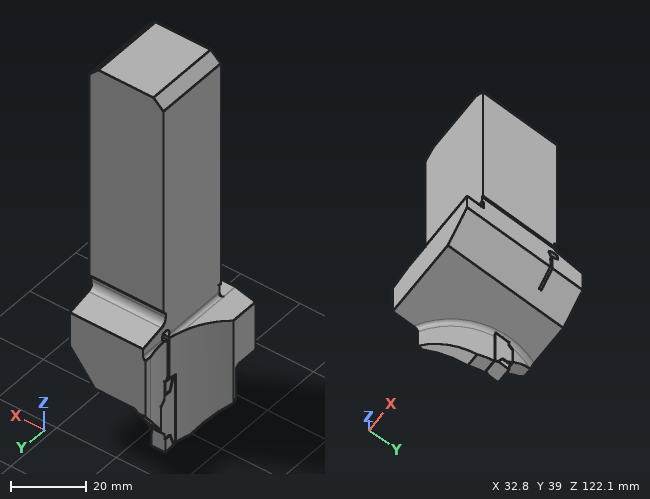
import cadquery as cq
import math


total_length = 122.1
holder_width = 32.8
head_depth = 39.0

shank_size = 25.0
shank_left = holder_width - shank_size
shank_back = 5.0
shank_front = shank_back + shank_size
end_chamfer = 3.0
end_chamfer_left = 3.4

side_relief = 0.4
side_relief_top = 45.2
back_relief = 0.7
back_relief_top = 42.0
front_relief = 1.0
front_relief_top = 48.8
front_relief_ramp = 1.2
neck_front_fillet = 2.5
neck_back_fillet = 0.5
neck_back = shank_back + back_relief
neck_front = shank_front - front_relief

head_bottom = 19.7
head_back_top = 38.2
head_front_top = 42.0
front_shoulder_top = 44.5
head_right = holder_width - side_relief
left_shoulder_low = 36.4
shoulder_slope = math.radians(15)
left_shoulder_high = left_shoulder_low + shank_left * math.tan(shoulder_slope)
shoulder_fillet = 1.5
bevel_top = 30.2
bevel_right_at_bottom = 24.0

groove_radius_inner = 32.2
groove_inner_x = 7.6
groove_inner_y = 30.5
groove_inner_flat_y = 36.8
groove_radius_outer = 24.3
blade_right = 11.7
groove_outer_y = 29.3
blade_fillet = 1.5
blade_bottom = 0.7
blade_bottom_back = 20.6
back_slope = 0.62
front_slope_top = 18.7
front_slope = 1.32

slit_hole_radius = 1.6
slit_hole_y = 29.1
slit_hole_z = 40.0
slit_width = 0.7
slit_y = 28.3

insert_length = 24.7
insert_back = 25.4
insert_front = 29.9
insert_bulge = 1.5
bulge_half_length = 4.5
bulge_ramp = 1.6
tip_clearance = 0.4
insert_left = groove_inner_x
insert_right = 11.8
tip_overhang = 0.2
tip_height = 4.6
tip_front_width = 2.2
tip_base_width = 3.9


def side_profile():
    """Outline of the holder in the YZ plane, extruded over its full width."""
    insert_mid_y = (insert_back + insert_front) / 2
    front_slope_end = front_slope_top - front_slope * (head_depth - insert_mid_y)
    middle_x = holder_width / 2
    front_neck_corner = cq.selectors.NearestToPointSelector((middle_x, neck_front, front_shoulder_top))
    back_neck_corner = cq.selectors.NearestToPointSelector((middle_x, neck_back, head_back_top))
    return (
        cq.Workplane("YZ")
        .moveTo(shank_back, total_length)
        .lineTo(shank_back, back_relief_top)
        .lineTo(neck_back, back_relief_top)
        .lineTo(neck_back, head_back_top)
        .lineTo(0, head_back_top)
        .lineTo(0, blade_bottom + back_slope * blade_bottom_back)
        .lineTo(blade_bottom_back, blade_bottom)
        .lineTo(insert_mid_y, blade_bottom)
        .lineTo(insert_mid_y, front_slope_end)
        .lineTo(head_depth, front_slope_top)
        .lineTo(head_depth, head_front_top)
        .lineTo(neck_front, front_shoulder_top)
        .lineTo(neck_front, front_relief_top - front_relief_ramp)
        .lineTo(shank_front, front_relief_top)
        .lineTo(shank_front, total_length)
        .close()
        .extrude(holder_width)
        .edges(front_neck_corner)
        .fillet(neck_front_fillet)
        .edges(back_neck_corner)
        .fillet(neck_back_fillet)
    )


def head_and_shank():
    """Outline of the head and shank in the XZ plane, extruded over the full depth."""
    return (
        cq.Workplane("XZ")
        .moveTo(0, head_bottom)
        .lineTo(0, left_shoulder_low)
        .lineTo(shank_left, left_shoulder_high)
        .lineTo(shank_left, total_length - end_chamfer)
        .lineTo(shank_left + end_chamfer_left, total_length)
        .lineTo(holder_width - end_chamfer, total_length)
        .lineTo(holder_width, total_length - end_chamfer)
        .lineTo(holder_width, side_relief_top)
        .lineTo(head_right, side_relief_top)
        .lineTo(head_right, bevel_top)
        .lineTo(bevel_right_at_bottom, head_bottom)
        .close()
        .extrude(-head_depth)
        .edges(cq.selectors.NearestToPointSelector((shank_left, head_depth / 2, left_shoulder_high)))
        .fillet(shoulder_fillet)
    )


def blade():
    """Part of a disc right of X = 0 and within the head depth, hanging below the head."""
    disc = (
        cq.Workplane("XY")
        .center(blade_right - groove_radius_outer, groove_outer_y)
        .circle(groove_radius_outer)
        .extrude(head_bottom)
    )
    return disc.intersect(
        cq.Workplane("XY").box(holder_width, head_depth, head_bottom, centered=False)
    )


def insert_profile():
    """Solid of the insert outline in the YZ plane, starting at X = 0 and ending at the tips' right side."""
    middle = insert_length / 2
    bulge_front = insert_front + insert_bulge
    return (
        cq.Workplane("YZ")
        .moveTo(insert_back, tip_clearance)
        .lineTo(insert_front, 0)
        .lineTo(insert_front, middle - bulge_half_length - bulge_ramp)
        .lineTo(bulge_front, middle - bulge_half_length)
        .lineTo(bulge_front, middle + bulge_half_length)
        .lineTo(insert_front, middle + bulge_half_length + bulge_ramp)
        .lineTo(insert_front, insert_length)
        .lineTo(insert_back, insert_length - tip_clearance)
        .close()
        .extrude(insert_right + tip_overhang)
    )


def slit():
    """Round relief hole and the narrow slit from it down to the insert, through the whole width."""
    hole = (
        cq.Workplane("YZ")
        .center(slit_hole_y, slit_hole_z)
        .circle(slit_hole_radius)
        .extrude(holder_width)
    )
    gap_bottom = insert_length - tip_clearance
    gap = cq.Workplane("XY").box(
        holder_width, slit_width, slit_hole_z - gap_bottom, centered=(False, True, False)
    )
    return hole.union(gap.translate((0, slit_y, gap_bottom)))


def concave_side():
    """Space left of the blade: a round stretch, then a flat one along Y near the front face."""
    center_x = groove_inner_x - groove_radius_inner
    flat_half_chord = groove_inner_flat_y - groove_inner_y
    flat_x = center_x + math.sqrt(groove_radius_inner**2 - flat_half_chord**2)
    flat_width = head_depth - groove_inner_flat_y
    round_part = (
        cq.Workplane("XY")
        .center(center_x, groove_inner_y)
        .circle(groove_radius_inner)
        .extrude(total_length)
    )
    flat_zone = (
        cq.Workplane("XY")
        .box(holder_width, flat_width, total_length, centered=False)
        .translate((0, groove_inner_flat_y, 0))
    )
    flat_part = cq.Workplane("XY").box(flat_x, flat_width, total_length, centered=False)
    return round_part.cut(flat_zone).union(flat_part.translate((0, groove_inner_flat_y, 0)))


def make_holder():
    body = head_and_shank().union(blade())
    blade_root = cq.selectors.NearestToPointSelector((blade_right, groove_outer_y, head_bottom))
    body = body.edges(blade_root).fillet(blade_fillet)
    return body.intersect(side_profile()).cut(concave_side()).cut(slit()).cut(insert_profile())


def insert_tip():
    """Zone of the lower cutting tip, which is wider than the middle of the insert."""
    return (
        cq.Workplane("YZ")
        .moveTo(insert_front, 0)
        .lineTo(insert_front, tip_height)
        .lineTo(insert_front - tip_front_width, tip_height)
        .lineTo(insert_front - tip_base_width, 0)
        .close()
        .extrude(insert_right - insert_left + 2 * tip_overhang)
        .translate((insert_left - tip_overhang, 0, 0))
    )


def make_insert():
    middle = cq.Workplane("XY").box(
        insert_right - insert_left, head_depth, insert_length, centered=False
    ).translate((insert_left, 0, 0))
    lower_tip = insert_tip()
    upper_tip = lower_tip.mirror("XY", (0, 0, insert_length / 2))
    return insert_profile().intersect(middle.union(lower_tip).union(upper_tip))


holder = make_holder()
insert = make_insert()
result = cq.Compound.makeCompound([holder.solids().val(), insert.solids().val()])